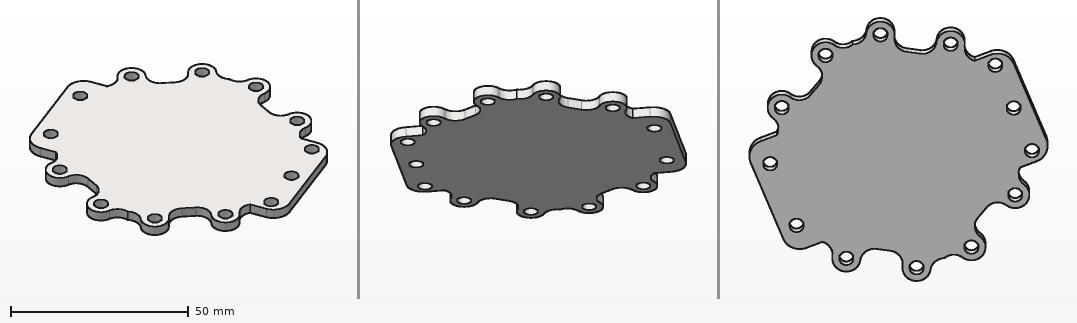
import math

import cadquery as cq

thickness = 3.0
plate_length = 80.0
hex_apothem = 30.0
hex_half_angle = 30.0
hex_side = 2 * hex_apothem * math.tan(math.radians(hex_half_angle))
plate_width = hex_side
corner_radius = 5.0

lug_radius = 4.0
root_radius = 4.0
lug_distance = hex_apothem + root_radius
lug_half_spacing = 10.0
pair_angle = 2 * hex_half_angle

hole_diameter = 4.0
end_hole_inset = 5.0
end_hole_x = plate_length / 2 - end_hole_inset
left_hole_y = 10.0
right_hole_y = 13.86


def from_pair(radial, sideways):
    """Turn a place in the frame of the +X +Y lug pair into X, Y.

    Radial runs outward along the pair's center line; sideways is positive away from the Y axis.
    """
    angle = math.radians(pair_angle)
    x = radial * math.cos(angle) + sideways * math.sin(angle)
    y = radial * math.sin(angle) - sideways * math.cos(angle)
    return x, y


def arc_point(center, radius, degrees):
    """Place on a circle in the pair frame; 0 degrees points outward, 90 degrees sideways."""
    radial, sideways = center
    angle = math.radians(degrees)
    return from_pair(radial + radius * math.cos(angle), sideways + radius * math.sin(angle))


def lug_pair_sector():
    """Hexagon sector of the +X +Y quarter, with its two lugs and the concave roots beside them."""
    inner_offset = lug_half_spacing - lug_radius - root_radius
    outer_offset = lug_half_spacing + lug_radius + root_radius

    root_x, root_y = from_pair(lug_distance, -outer_offset)
    crest = (0, root_y - math.sqrt(root_radius**2 - root_x**2))
    crest_angle = pair_angle - math.degrees(math.atan2(crest[1] - root_y, crest[0] - root_x))
    lug_tangent_angle = 90
    root_mid_angle = (crest_angle + lug_tangent_angle) / 2

    outline = cq.Workplane("XY").lineTo(*crest)
    outline = outline.threePointArc(
        arc_point((lug_distance, -outer_offset), root_radius, root_mid_angle),
        from_pair(lug_distance, -lug_half_spacing - lug_radius),
    )
    outline = outline.threePointArc(
        from_pair(lug_distance + lug_radius, -lug_half_spacing),
        from_pair(lug_distance, -lug_half_spacing + lug_radius),
    )
    outline = outline.threePointArc(
        arc_point((lug_distance, -inner_offset), root_radius, 225),
        from_pair(hex_apothem, -inner_offset),
    )
    outline = outline.lineTo(*from_pair(hex_apothem, inner_offset))
    outline = outline.threePointArc(
        arc_point((lug_distance, inner_offset), root_radius, 135),
        from_pair(lug_distance, lug_half_spacing - lug_radius),
    )
    outline = outline.threePointArc(
        from_pair(lug_distance + lug_radius, lug_half_spacing),
        from_pair(lug_distance, lug_half_spacing + lug_radius),
    )
    outline = outline.threePointArc(
        arc_point((lug_distance, outer_offset), root_radius, 225),
        from_pair(hex_apothem, outer_offset),
    )
    return outline.close().extrude(thickness)


def make_body():
    """Rounded rectangular plate joined to four mirrored lug sectors."""
    plate = cq.Workplane("XY").rect(plate_length, plate_width).extrude(thickness)
    plate = plate.edges("|Z").fillet(corner_radius)
    quarter = lug_pair_sector()
    upper_half = quarter.union(quarter.mirror("YZ"))
    return plate.union(upper_half).union(upper_half.mirror("XZ")).clean()


def hole_places():
    """Centers of all lug holes and of the holes at both plate ends."""
    places = [(-end_hole_x, left_hole_y), (-end_hole_x, -left_hole_y), (end_hole_x, 0)]
    places += [(end_hole_x, right_hole_y), (end_hole_x, -right_hole_y)]
    for offset in (-lug_half_spacing, lug_half_spacing):
        x, y = from_pair(lug_distance, offset)
        places += [(x, y), (-x, y), (x, -y), (-x, -y)]
    return places


holes = cq.Workplane("XY").pushPoints(hole_places()).circle(hole_diameter / 2).extrude(thickness)
result = make_body().cut(holes)